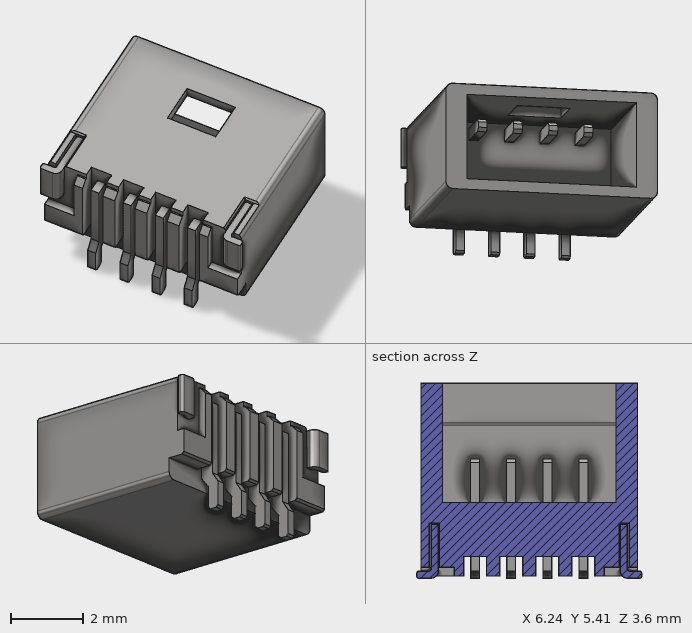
import cadquery as cq

total_width = 6.24
total_depth = 5.41
wall_step = 0.3

body_width = 6.0
body_height = 3.0
body_corner = 0.2
rear_y = 0.06
foot_y = 0.6
foot_height = 0.6
block_top = 1.34
block_chamfer = 0.06
rib_field_half_width = 2.085
rib_ledge_drop = 0.15
rib_slope = 0.195

cavity_wall = 0.3
cavity_side_wall = 0.6
cavity_rear_y = 2.1
floor_step_y = 4.305
floor_step = 0.05
window_width = 1.5
window_start_y = 3.15
window_end_y = 4.35

pin_count = 4
pitch = 1.0
slot_width = 0.63
pin_width = 0.25
pin_thickness = 0.35
pin_upper_y = 0.2
pin_top_z = 2.54
pin_tip_y = 3.31
pin_tip_chamfer = 0.1
pin_end_chamfer = 0.06
pin_foot_z = -0.6
pin_bend_top_z = 0.455
pin_bend_bottom_z = 0.17
pin_bend_drop = 0.09

clip_thickness = 0.2
clip_inner_x = 2.52
clip_leg_end_y = 1.5
clip_bottom_z = 1.805
clip_top_z = 2.9
clip_end_radius = 0.06
clip_inner_radius = 0.06

pocket_depth = 0.05
pocket_inner_x = 2.5
pocket_end_y = 1.52
lead_in_outer_x = 2.77
lead_in_bottom_z = 2.4

half_width = body_width / 2
pin_positions = [(i - (pin_count - 1) / 2) * pitch for i in range(pin_count)]


def block(x0, x1, y0, y1, z0, z1):
    """Axis-aligned box between two opposite corners."""
    return cq.Workplane("XY").box(x1 - x0, y1 - y0, z1 - z0, centered=False).translate((x0, y0, z0))


def side_profile(points, x_center, width):
    """Closed (Y, Z) outline extruded along X, centred on x_center."""
    return (
        cq.Workplane("YZ")
        .polyline(points)
        .close()
        .extrude(width / 2, both=True)
        .translate((x_center, 0, 0))
    )


def both_sides(solid):
    """The solid together with its mirror image across X = 0."""
    return solid.union(solid.mirror("YZ"))


def make_housing():
    """Rounded shell with stepped rear, ribs between the terminals and lower blocks."""
    shell = block(-half_width, half_width, foot_y, total_depth, 0, body_height)
    upper = block(-half_width, half_width, wall_step, total_depth, foot_height, body_height)
    shell = shell.edges("|Y").fillet(body_corner)
    upper = upper.edges("|Y and >Z").fillet(body_corner)

    lower_profile = [
        (foot_y, foot_height),
        (rear_y + block_chamfer, foot_height),
        (rear_y, foot_height + block_chamfer),
        (rear_y, block_top),
        (foot_y, block_top),
    ]
    ledge_z = body_height - rib_ledge_drop
    rib_profile = [
        (foot_y, foot_height + block_chamfer),
        (rear_y, foot_height + block_chamfer),
        (rear_y, ledge_z - rib_slope),
        (rear_y + rib_slope, ledge_z),
        (foot_y, ledge_z),
    ]
    lower = side_profile(lower_profile, 0, body_width)
    ribs = side_profile(rib_profile, 0, 2 * rib_field_half_width)
    return shell.union(upper).union(lower).union(ribs)


def make_terminal_slot(x):
    """Slot that opens the rear of the housing around one terminal."""
    return block(x - slot_width / 2, x + slot_width / 2, 0, foot_y, 0, body_height)


def make_cavity():
    """Mating cavity, open at +Y, whose floor steps down toward the opening."""
    upper_floor_z = cavity_wall + floor_step
    profile = [
        (cavity_rear_y, upper_floor_z),
        (floor_step_y - floor_step, upper_floor_z),
        (floor_step_y, cavity_wall),
        (total_depth, cavity_wall),
        (total_depth, body_height - cavity_wall),
        (cavity_rear_y, body_height - cavity_wall),
    ]
    return side_profile(profile, 0, body_width - 2 * cavity_side_wall)


def make_window():
    """Latch window through the top wall into the cavity."""
    half = window_width / 2
    return block(-half, half, window_start_y, window_end_y, body_height / 2, body_height)


def make_clip_pocket():
    """Bevelled recess in the top face with a deeper lead-in around the clip leg (+X side)."""
    reach = total_width
    recess = (
        cq.Workplane("XY", origin=(0, 0, body_height - pocket_depth))
        .moveTo(pocket_inner_x, pocket_end_y)
        .lineTo(pocket_inner_x, -reach)
        .lineTo(reach, -reach)
        .lineTo(reach, pocket_end_y)
        .close()
        .extrude(pocket_depth, taper=-45)
    )
    lead_in = block(pocket_inner_x, lead_in_outer_x, 0, pocket_end_y, lead_in_bottom_z, body_height)
    return recess.union(lead_in)


def make_clip():
    """L-shaped sheet-metal solder clip (+X side)."""
    outer_x = total_width / 2
    leg_x = clip_inner_x + clip_thickness
    clip = (
        cq.Workplane("XY", origin=(0, 0, clip_bottom_z))
        .moveTo(clip_inner_x, 0)
        .lineTo(outer_x, 0)
        .lineTo(outer_x, clip_thickness)
        .lineTo(leg_x, clip_thickness)
        .lineTo(leg_x, clip_leg_end_y)
        .lineTo(clip_inner_x, clip_leg_end_y)
        .close()
        .extrude(clip_top_z - clip_bottom_z)
    )
    clip = clip.edges("|Z and >X").fillet(clip_end_radius)
    mid_z = (clip_bottom_z + clip_top_z) / 2
    inner_corner = cq.selectors.NearestToPointSelector((leg_x, clip_thickness, mid_z))
    clip = clip.edges(inner_corner).fillet(clip_inner_radius)
    return clip.edges("|Z and <X and <Y").fillet(clip_thickness)


def make_terminal(x):
    """Bent terminal: blade into the cavity, upright, joggle and solder foot."""
    blade_bottom_z = pin_top_z - pin_thickness
    profile = [
        (pin_upper_y, pin_top_z),
        (pin_upper_y, pin_bend_top_z),
        (0, pin_bend_bottom_z),
        (0, pin_foot_z + pin_end_chamfer),
        (pin_end_chamfer, pin_foot_z),
        (pin_thickness - pin_end_chamfer, pin_foot_z),
        (pin_thickness, pin_foot_z + pin_end_chamfer),
        (pin_thickness, pin_bend_bottom_z - pin_bend_drop),
        (foot_y, pin_bend_top_z - pin_bend_drop),
        (foot_y, blade_bottom_z),
        (pin_tip_y - pin_tip_chamfer, blade_bottom_z),
        (pin_tip_y, blade_bottom_z + pin_tip_chamfer),
        (pin_tip_y, pin_top_z - pin_tip_chamfer),
        (pin_tip_y - pin_tip_chamfer, pin_top_z),
    ]
    return side_profile(profile, x, pin_width)


result = make_housing().cut(make_cavity()).cut(make_window()).cut(both_sides(make_clip_pocket()))
for pin_x in pin_positions:
    result = result.cut(make_terminal_slot(pin_x)).union(make_terminal(pin_x))
result = result.union(both_sides(make_clip()))